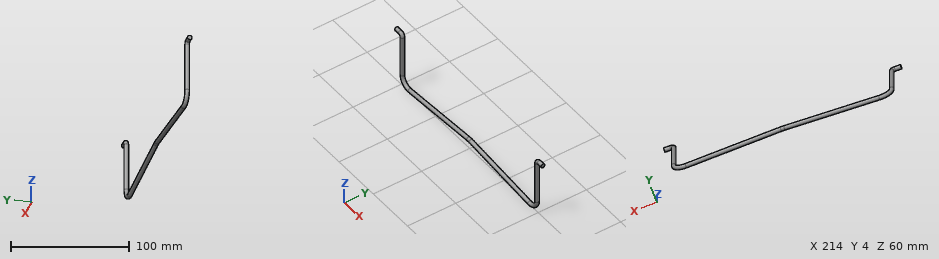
import cadquery as cq
import math

overall_length = 214.0
overall_height = 60.0
wire_diameter = 4.0
leg_spacing = 196.9
top_bend_radius = 3.0
lower_bend_radius = 10.0
middle_bend_radius = 20.0
arm_angle = math.radians(5)

wire_radius = wire_diameter / 2
end_x = -overall_length / 2
leg_x = -leg_spacing / 2
lowest_z = -(overall_height - wire_diameter)
lower_center_x = leg_x + lower_bend_radius
lower_center_z = lowest_z + lower_bend_radius


def arc_point(center_x, center_z, radius, angle):
    """Point on a bend, with the angle measured from +X towards +Z."""
    return center_x + radius * math.cos(angle), center_z + radius * math.sin(angle)


arm_start_angle = arm_angle - math.pi / 2
arm_start = arc_point(lower_center_x, lower_center_z, lower_bend_radius, arm_start_angle)
lower_bend_mid = arc_point(
    lower_center_x, lower_center_z, lower_bend_radius, (arm_start_angle - math.pi) / 2
)

arm_end_x = -middle_bend_radius * math.sin(arm_angle)
arm_end_z = arm_start[1] + (arm_end_x - arm_start[0]) * math.tan(arm_angle)
middle_crest_z = arm_end_z + middle_bend_radius * (1 - math.cos(arm_angle))

top_bend_start = (leg_x - top_bend_radius, 0)
top_bend_mid = arc_point(leg_x - top_bend_radius, -top_bend_radius, top_bend_radius, math.pi / 4)


def mirrored(point):
    """Matching point on the +X half of the wire."""
    return -point[0], point[1]


leg_top = (leg_x, -top_bend_radius)
leg_bottom = (leg_x, lower_center_z)
arm_end = (arm_end_x, arm_end_z)
centreline = (
    cq.Workplane("XZ")
    .moveTo(end_x, 0)
    .lineTo(*top_bend_start)
    .threePointArc(top_bend_mid, leg_top)
    .lineTo(*leg_bottom)
    .threePointArc(lower_bend_mid, arm_start)
    .lineTo(*arm_end)
    .threePointArc((0, middle_crest_z), mirrored(arm_end))
    .lineTo(*mirrored(arm_start))
    .threePointArc(mirrored(lower_bend_mid), mirrored(leg_bottom))
    .lineTo(*mirrored(leg_top))
    .threePointArc(mirrored(top_bend_mid), mirrored(top_bend_start))
    .lineTo(-end_x, 0)
)

result = cq.Workplane("YZ", origin=(end_x, 0, 0)).circle(wire_radius).sweep(centreline)